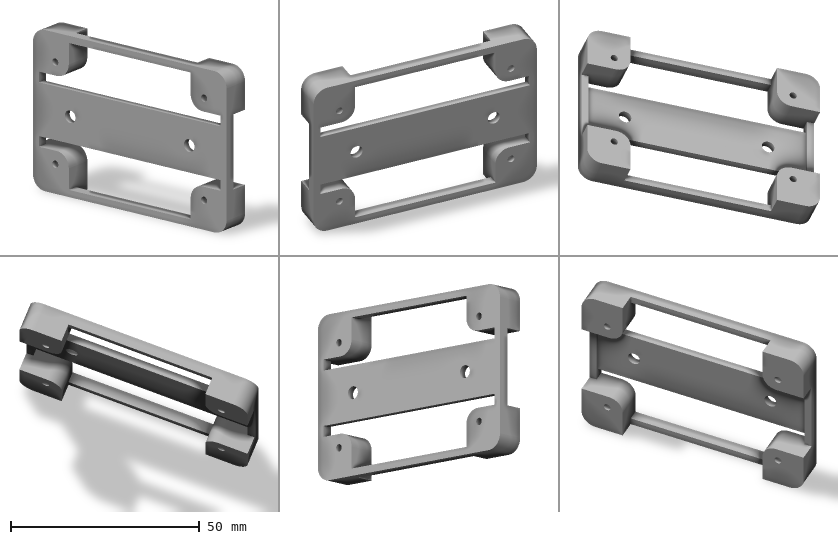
import cadquery as cq

length = 65.0
depth = 8.0
height = 45.0

plate_thickness = 3.0
corner_radius = 4.0
pad_size = 12.0
band_thickness = 2.0
rim_width = 2.0
band_height = 15.0

pad_hole_diameter = 2.0
pad_hole_spacing_x = 50.0
pad_hole_spacing_z = 28.5
band_hole_diameter = 3.5
band_hole_spacing = 40.0


def block(size_x, size_z, thickness):
    """Block centred in X and Z, with its front face at Y = 0."""
    return cq.Workplane("XY").box(size_x, thickness, size_z, centered=(True, False, True))


def hole_pins(diameter, spacing_x, heights):
    """Pins along Y through the full depth, in two columns at each given height."""
    centers = [(side * spacing_x / 2, z) for side in (-1, 1) for z in heights]
    return cq.Workplane("XZ").pushPoints(centers).circle(diameter / 2).extrude(-depth)


window_length = length - 2 * rim_width
window_height = (height - band_height) / 2 - rim_width
window_center_z = (band_height + window_height) / 2
frame = block(length, height, plate_thickness).edges("|Y").fillet(corner_radius)
for side in (-1, 1):
    window = block(window_length, window_height, plate_thickness)
    frame = frame.cut(window.translate((0, 0, side * window_center_z)))

band_recess = block(window_length, band_height, plate_thickness - band_thickness)
frame = frame.cut(band_recess.translate((0, band_thickness, 0)))

pad_center_x = (length - pad_size) / 2
pad_center_z = (height - pad_size) / 2
pad_block = block(pad_size, pad_size, depth)
rounded_pad = pad_block.edges("|Y and ((>X and >Z) or (<X and <Z))").fillet(corner_radius)
mirrored_pad = rounded_pad.mirror("YZ")
for side_x in (-1, 1):
    for side_z in (-1, 1):
        pad = rounded_pad if side_x == side_z else mirrored_pad
        frame = frame.union(pad.translate((side_x * pad_center_x, 0, side_z * pad_center_z)))

pad_hole_heights = (-pad_hole_spacing_z / 2, pad_hole_spacing_z / 2)
frame = frame.cut(hole_pins(pad_hole_diameter, pad_hole_spacing_x, pad_hole_heights))
frame = frame.cut(hole_pins(band_hole_diameter, band_hole_spacing, (0,)))

result = frame